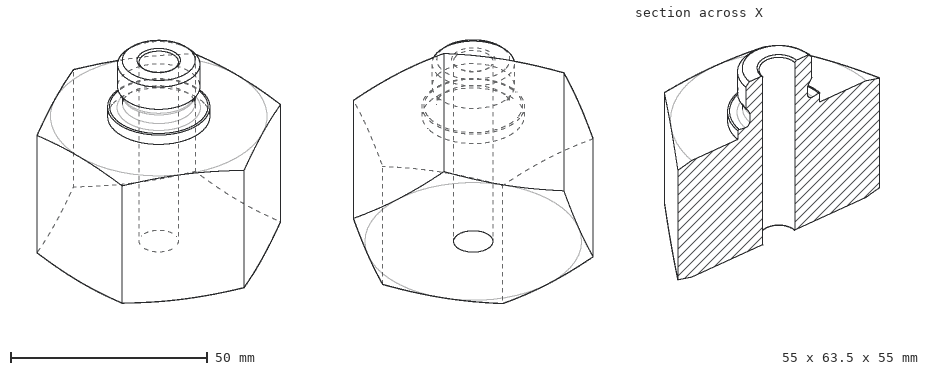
import cadquery as cq
import math

HEX_SIDES = 6
ACROSS_FLATS = 55.0
HEX_HEIGHT = 38.0
CORNER_DIRECTION = 89.95
HEX_CHAMFER_ANGLE = 15.0

TOTAL_HEIGHT = 55.0
HEAD_DIAMETER = 20.95
HEAD_CHAMFER = 1.2
HEAD_LENGTH = 8.0
UNDERCUT_DIAMETER = 18.4
UNDERCUT_ANGLE = 30.0
UNDERCUT_FILLET = 1.2

COLLAR_DIAMETER = 26.0
SEALING_EDGE_DIAMETER = 25.0
COLLAR_HEIGHT = 3.0
COLLAR_FACE_ANGLE = 10.0
COLLAR_EDGE_DROP = 0.15

BORE_DIAMETER = 10.0
BORE_CHAMFER = 0.5


def tan_deg(angle):
    return math.tan(math.radians(angle))


def hex_body():
    flat_radius = ACROSS_FLATS / 2
    corner_radius = flat_radius / math.cos(math.pi / HEX_SIDES)
    chamfer_drop = (corner_radius - flat_radius) * tan_deg(HEX_CHAMFER_ANGLE)
    prism = (
        cq.Workplane("XY")
        .polygon(HEX_SIDES, 2 * corner_radius)
        .extrude(HEX_HEIGHT)
        .rotate((0, 0, 0), (0, 0, 1), CORNER_DIRECTION)
    )
    envelope = (
        cq.Workplane("XZ")
        .moveTo(0, 0)
        .lineTo(flat_radius, 0)
        .lineTo(corner_radius, chamfer_drop)
        .lineTo(corner_radius, HEX_HEIGHT - chamfer_drop)
        .lineTo(flat_radius, HEX_HEIGHT)
        .lineTo(0, HEX_HEIGHT)
        .close()
        .revolve(360, (0, 0, 0), (0, 1, 0))
    )
    return prism.intersect(envelope)


def spigot():
    head_radius = HEAD_DIAMETER / 2
    undercut_radius = UNDERCUT_DIAMETER / 2
    edge_radius = SEALING_EDGE_DIAMETER / 2
    collar_radius = COLLAR_DIAMETER / 2

    edge_z = HEX_HEIGHT + COLLAR_HEIGHT
    undercut_bottom = edge_z - (edge_radius - undercut_radius) * tan_deg(COLLAR_FACE_ANGLE)
    head_bottom = TOTAL_HEIGHT - HEAD_LENGTH
    undercut_top = head_bottom - (head_radius - undercut_radius) / tan_deg(UNDERCUT_ANGLE)

    turned = (
        cq.Workplane("XZ")
        .moveTo(0, HEX_HEIGHT)
        .lineTo(collar_radius, HEX_HEIGHT)
        .lineTo(collar_radius, edge_z - COLLAR_EDGE_DROP)
        .lineTo(edge_radius, edge_z)
        .lineTo(undercut_radius, undercut_bottom)
        .lineTo(undercut_radius, undercut_top)
        .lineTo(head_radius, head_bottom)
        .lineTo(head_radius, TOTAL_HEIGHT - HEAD_CHAMFER)
        .lineTo(head_radius - HEAD_CHAMFER, TOTAL_HEIGHT)
        .lineTo(0, TOTAL_HEIGHT)
        .close()
        .revolve(360, (0, 0, 0), (0, 1, 0))
    )
    undercut_rings = cq.selectors.RadiusNthSelector(0)
    return turned.edges("%CIRCLE").edges(undercut_rings).fillet(UNDERCUT_FILLET)


def bore():
    hole = cq.Workplane("XY").circle(BORE_DIAMETER / 2).extrude(TOTAL_HEIGHT)
    mouth = (
        cq.Workplane("XY", origin=(0, 0, TOTAL_HEIGHT))
        .circle(BORE_DIAMETER / 2 + BORE_CHAMFER)
        .workplane(offset=-BORE_CHAMFER)
        .circle(BORE_DIAMETER / 2)
        .loft()
    )
    return hole.union(mouth)


result = hex_body().union(spigot()).cut(bore())